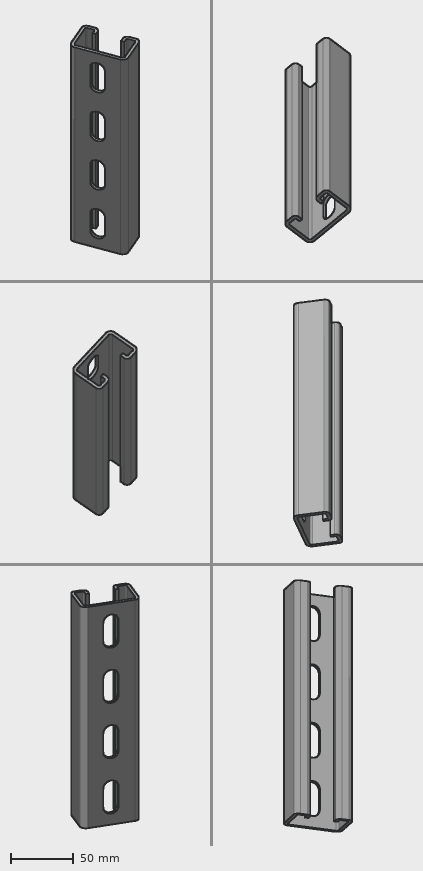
import cadquery as cq

length = 200.0
width = 50.0
depth = 30.0
thickness = 3.0
mouth = 22.0
lip_depth = 7.5
web_bend = 5.0
flange_bend = 4.0

slot_length = 30.0
slot_width = 13.0
slot_count = 4
slot_pitch = length / slot_count

web_face = -depth / 2
flange_face = depth / 2
wall_face = width / 2
lip_face = mouth / 2
lip_tip = flange_face - lip_depth

web_bend_inner = web_bend - thickness
flange_bend_inner = flange_bend - thickness


def half_channel():
    """Right-hand half of the channel, from the mid-plane of the web to the lip tip."""
    profile = (
        cq.Workplane("XY")
        .moveTo(0, web_face)
        .lineTo(wall_face - web_bend, web_face)
        .tangentArcPoint((web_bend, web_bend))
        .lineTo(wall_face, flange_face - flange_bend)
        .tangentArcPoint((-flange_bend, flange_bend))
        .lineTo(lip_face + flange_bend, flange_face)
        .tangentArcPoint((-flange_bend, -flange_bend))
        .lineTo(lip_face, lip_tip)
        .lineTo(lip_face + thickness, lip_tip)
        .lineTo(lip_face + thickness, flange_face - flange_bend)
        .tangentArcPoint((flange_bend_inner, flange_bend_inner))
        .lineTo(wall_face - flange_bend, flange_face - thickness)
        .tangentArcPoint((flange_bend_inner, -flange_bend_inner))
        .lineTo(wall_face - thickness, web_face + web_bend)
        .tangentArcPoint((-web_bend_inner, -web_bend_inner))
        .lineTo(0, web_face + thickness)
        .close()
    )
    return profile.extrude(length / 2, both=True)


def web_slots():
    """Column of round-ended slots, long side along Z, reaching through the web only."""
    return (
        cq.Workplane("XZ", origin=(0, web_face + thickness, 0))
        .rarray(width, slot_pitch, 1, slot_count)
        .slot2D(slot_length, slot_width, 90)
        .extrude(thickness)
    )


right_half = half_channel()
left_half = right_half.mirror("YZ")
result = right_half.union(left_half).cut(web_slots())